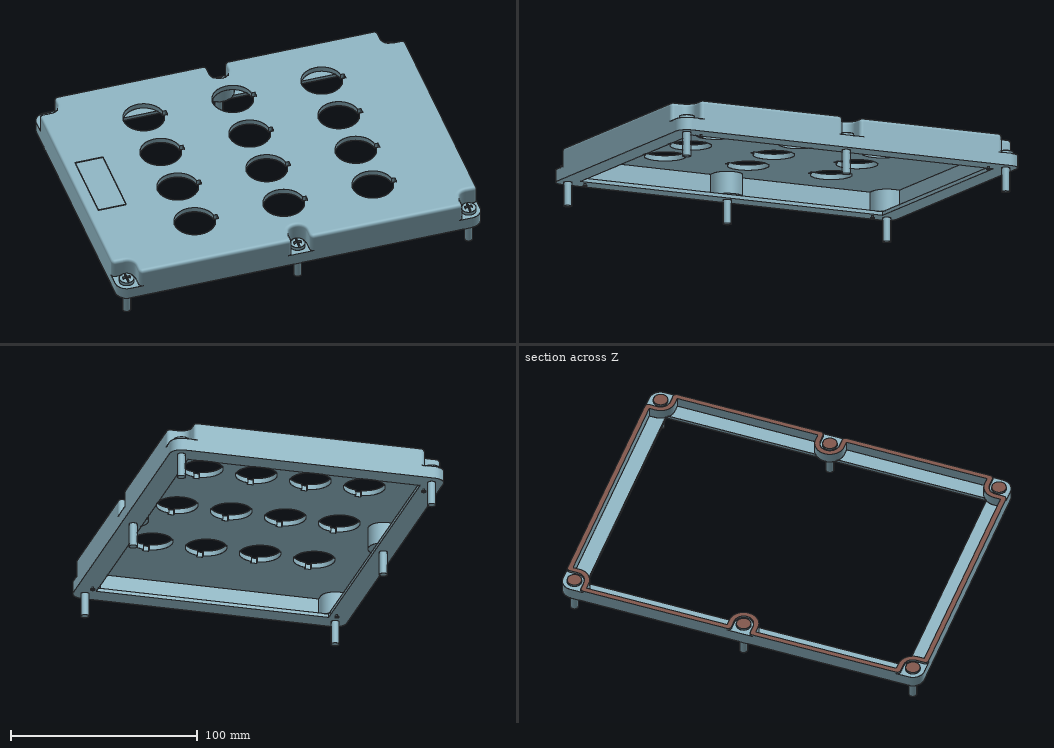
import cadquery as cq

LID_X = 152.02
LID_Y = 205.0
LID_HEIGHT = 17.0
TOP_THICKNESS = 3.0
WALL_THICKNESS = 3.0
EDGE_ROUND = 2.0

FLANGE_WIDTH = 11.5
FLANGE_HEIGHT = 2.0

SCREW_INSET = 6.5
SCREW_X = LID_X / 2 - SCREW_INSET
SCREW_Y = LID_Y / 2 - SCREW_INSET
CORNER_SCREWS = [(sx * SCREW_X, sy * SCREW_Y) for sx in (-1, 1) for sy in (-1, 1)]
SIDE_SCREWS = [(-SCREW_X, 0), (SCREW_X, 0)]

RECESS_RADIUS = 5.25
RECESS_DEPTH = 10.25
LEDGE_Z = LID_HEIGHT - RECESS_DEPTH
BOSS_RADIUS = RECESS_RADIUS + WALL_THICKNESS

SHANK_DIAMETER = 4.4
SHANK_LENGTH = 13.01
HEAD_DIAMETER = 8.0
HEAD_RIM_HEIGHT = 2.0
HEAD_DOME_HEIGHT = 0.75
DRIVE_DEPTH = 1.2
DRIVE_LONG_SLOT = (6.0, 0.7)
DRIVE_SHORT_SLOT = (1.5, 4.0)

BUTTON_DIAMETER = 22.3
BUTTON_COLUMNS = 4
BUTTON_ROWS = 3
BUTTON_PITCH_X = 30.0
BUTTON_PITCH_Y = 50.0
NOTCH_WIDTH = 3.2
NOTCH_REACH = 12.95

LABEL_X = 41.0
LABEL_Y = 15.6
LABEL_CENTER_Y = -88.5
LABEL_DEPTH = 0.5

PIN_X = 67.8
PIN_Y = 86.5
PIN_HEAD_DIAMETER = 2.2
PIN_STEM_DIAMETER = 1.0
PIN_LENGTH = 1.5
PIN_HEAD_THICKNESS = 0.4


def block(size_x, size_y, bottom, top):
    """Box centred on the Z axis between two heights."""
    return cq.Workplane("XY").workplane(offset=bottom).rect(size_x, size_y).extrude(top - bottom)


def disc(center, diameter, bottom, top):
    """Upright cylinder between two heights."""
    x, y = center
    base = cq.Workplane("XY").workplane(offset=bottom).center(x, y)
    return base.circle(diameter / 2).extrude(top - bottom)


def screw_station(center, radius, bottom, top):
    """Round-nosed column that reaches from a screw axis out through the nearest edges of the lid."""
    x, y = center
    column = disc(center, 2 * radius, bottom, top)
    outward_x = 1 if x > 0 else -1
    arm_x = block(2 * radius, 2 * radius, bottom, top).translate((x + outward_x * radius, y, 0))
    column = column.union(arm_x)
    if y != 0:
        outward_y = 1 if y > 0 else -1
        arm_y = arm_x.translate((-outward_x * radius, outward_y * radius, 0))
        corner = arm_x.translate((0, outward_y * radius, 0))
        column = column.union(arm_y).union(corner)
    return column


def make_lower_body():
    body = block(LID_X, LID_Y, 0, LEDGE_Z)
    return body.edges("|Z").fillet(SCREW_INSET)


def make_upper_body():
    body = block(LID_X, LID_Y, LEDGE_Z, LID_HEIGHT)
    for center in CORNER_SCREWS + SIDE_SCREWS:
        body = body.cut(screw_station(center, RECESS_RADIUS, LEDGE_Z, LID_HEIGHT))
    mouths = body.edges("|Z").edges("<X or >X or <Y or >Y")
    body = mouths.fillet(EDGE_ROUND)
    return body.faces(">Z").edges().fillet(EDGE_ROUND)


def make_cavity():
    inner_x = LID_X - 2 * WALL_THICKNESS
    inner_y = LID_Y - 2 * WALL_THICKNESS
    cavity = block(inner_x, inner_y, FLANGE_HEIGHT, LID_HEIGHT - TOP_THICKNESS)
    for center in CORNER_SCREWS + SIDE_SCREWS:
        cavity = cavity.cut(screw_station(center, BOSS_RADIUS, FLANGE_HEIGHT, LID_HEIGHT))
    opening = block(LID_X - 2 * FLANGE_WIDTH, LID_Y - 2 * FLANGE_WIDTH, 0, FLANGE_HEIGHT)
    return cavity.union(opening)


def make_button_openings():
    notch = block(NOTCH_WIDTH, NOTCH_REACH, 0, LID_HEIGHT).translate((0, NOTCH_REACH / 2, 0))
    opening = disc((0, 0), BUTTON_DIAMETER, 0, LID_HEIGHT).union(notch)
    openings = cq.Workplane("XY")
    for column in range(BUTTON_COLUMNS):
        for row in range(BUTTON_ROWS):
            x = (column - (BUTTON_COLUMNS - 1) / 2) * BUTTON_PITCH_X
            y = (row - (BUTTON_ROWS - 1) / 2) * BUTTON_PITCH_Y
            openings.add(opening.translate((x, y, 0)))
    return openings.combine()


def make_label_recess():
    recess = block(LABEL_X, LABEL_Y, LID_HEIGHT - LABEL_DEPTH, LID_HEIGHT)
    return recess.translate((0, LABEL_CENTER_Y, 0))


def make_screw():
    head_top = LEDGE_Z + HEAD_RIM_HEIGHT + HEAD_DOME_HEIGHT
    head = disc((0, 0), HEAD_DIAMETER, LEDGE_Z, head_top)
    dome_radius = ((HEAD_DIAMETER / 2) ** 2 + HEAD_DOME_HEIGHT ** 2) / (2 * HEAD_DOME_HEIGHT)
    dome_sphere = cq.Workplane("XY").sphere(dome_radius).translate((0, 0, head_top - dome_radius))
    head = head.intersect(dome_sphere)
    for slot_x, slot_y in (DRIVE_LONG_SLOT, DRIVE_SHORT_SLOT):
        head = head.cut(block(slot_x, slot_y, head_top - DRIVE_DEPTH, head_top))
    shank = disc((0, 0), SHANK_DIAMETER, -SHANK_LENGTH, LEDGE_Z)
    return head.union(shank)


def make_pin():
    stem = disc((0, 0), PIN_STEM_DIAMETER, -PIN_LENGTH, FLANGE_HEIGHT)
    head = disc((0, 0), PIN_HEAD_DIAMETER, -PIN_LENGTH, PIN_HEAD_THICKNESS - PIN_LENGTH)
    return stem.union(head)


result = make_lower_body().union(make_upper_body())
result = result.cut(make_cavity())
result = result.cut(make_button_openings())
result = result.cut(make_label_recess())

screw = make_screw()
for screw_x, screw_y in CORNER_SCREWS + SIDE_SCREWS:
    result = result.union(screw.translate((screw_x, screw_y, 0)))

pin = make_pin()
for side_x in (-1, 1):
    for side_y in (-1, 1):
        result = result.union(pin.translate((side_x * PIN_X, side_y * PIN_Y, 0)))